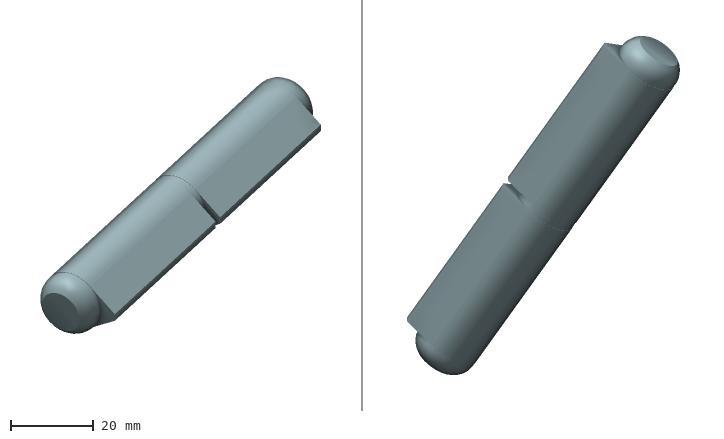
import cadquery as cq
import math

total_length = 100.0
barrel_radius = 8.0
lip_reach = 12.0
lip_half_height = 1.0
washer_diameter = 15.8
washer_thickness = 2.0
cap_length = 5.5
cap_bulge_offset = 1.0
cap_face_radius = 5.4

cap_radius = washer_diameter / 2
half_length = total_length / 2
barrel_end = half_length - cap_length
barrel_start = washer_thickness / 2
barrel_length = barrel_end - barrel_start

lip_distance = math.hypot(lip_reach, lip_half_height)
tangent_angle = math.atan2(lip_half_height, lip_reach) + math.acos(barrel_radius / lip_distance)
tangent_x = barrel_radius * math.cos(tangent_angle)
tangent_z = barrel_radius * math.sin(tangent_angle)


def hinge_leaf():
    """Teardrop-shaped barrel and lip, on the +Y side of the washer."""
    return (
        cq.Workplane("XZ", origin=(0, barrel_start, 0))
        .moveTo(lip_reach, -lip_half_height)
        .lineTo(lip_reach, lip_half_height)
        .lineTo(tangent_x, tangent_z)
        .threePointArc((-barrel_radius, 0), (tangent_x, -tangent_z))
        .close()
        .extrude(-barrel_length)
    )


def core():
    """Washer core running through both barrels, with a bulging rounded cap at each end."""
    bulge_y = barrel_end + cap_bulge_offset
    return (
        cq.Workplane("XY")
        .moveTo(0, -half_length)
        .lineTo(cap_face_radius, -half_length)
        .threePointArc((barrel_radius, -bulge_y), (cap_radius, -barrel_end))
        .lineTo(cap_radius, barrel_end)
        .threePointArc((barrel_radius, bulge_y), (cap_face_radius, half_length))
        .lineTo(0, half_length)
        .close()
        .revolve(360, (0, 0), (0, 1))
    )


leaf = hinge_leaf()
result = core().union(leaf).union(leaf.mirror("XZ"))